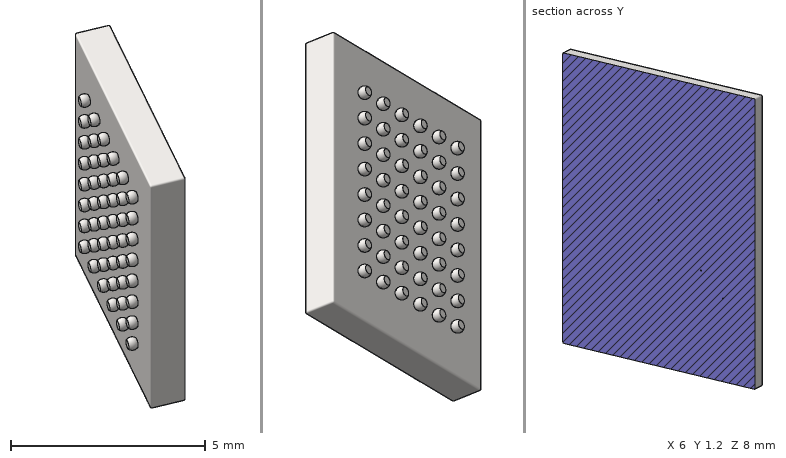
import cadquery as cq
import math

BODY_WIDTH = 6.0
BODY_THICKNESS = 0.95
BODY_HEIGHT = 8.0
EDGE_ROUND = 0.05

BALL_COLUMNS = 6
BALL_ROWS = 8
BALL_PITCH = 0.75
BALL_DIAMETER = 0.35
BALL_STANDOFF = 0.25
BALL_CENTRE_OFFSET = 0.12


def make_body():
    """Block with its ball face on the plane Y = 0 and every edge rounded."""
    block = cq.Workplane("XY").box(
        BODY_WIDTH, BODY_THICKNESS, BODY_HEIGHT, centered=(True, False, True)
    )
    return block.edges().fillet(EDGE_ROUND)


def make_ball():
    """Sphere cut flat at the tip and at the body face, revolved about the Y axis."""
    radius = BALL_DIAMETER / 2
    tip_radius = math.sqrt(radius**2 - (BALL_STANDOFF - BALL_CENTRE_OFFSET) ** 2)
    base_radius = math.sqrt(radius**2 - BALL_CENTRE_OFFSET**2)
    return (
        cq.Workplane("XY")
        .lineTo(base_radius, 0)
        .threePointArc((radius, -BALL_CENTRE_OFFSET), (tip_radius, -BALL_STANDOFF))
        .lineTo(0, -BALL_STANDOFF)
        .close()
        .revolve(360, (0, 0), (0, 1))
    )


def ball_positions():
    """(X, Z) centres of a grid centred on the body face."""
    left = -BALL_PITCH * (BALL_COLUMNS - 1) / 2
    bottom = -BALL_PITCH * (BALL_ROWS - 1) / 2
    return [
        (left + column * BALL_PITCH, bottom + row * BALL_PITCH)
        for column in range(BALL_COLUMNS)
        for row in range(BALL_ROWS)
    ]


result = make_body()
ball = make_ball()
for x, z in ball_positions():
    result = result.union(ball.translate((x, 0, z)))